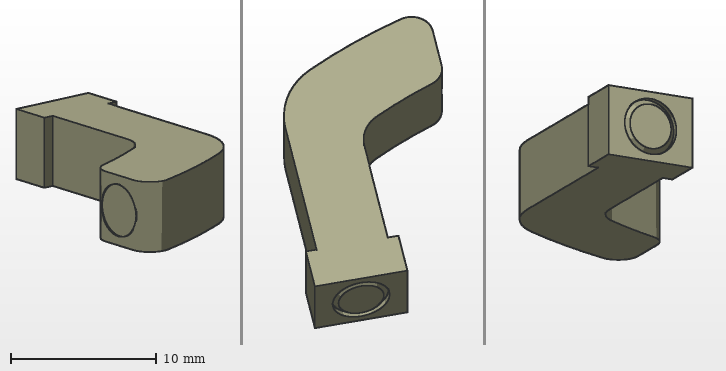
import cadquery as cq
import math

overall_width = 12.35
thickness = 5.0

head_length = 3.0
head_width = 6.5

arm_width = 5.0
leg_end_y = head_width / 2 - overall_width
leg_outer_arc = (-17.48, -18.88, 40.03)
leg_inner_arc = (-17.08, -19.92, 34.2)
bend_outer_radius = 5.0
bend_inner_radius = 2.5
corner_radius = 1.5

head_pocket_diameter = 4.0
head_insert_face_diameter = 3.2
head_rim_width = (head_pocket_diameter - head_insert_face_diameter) / 2

leg_recess_diameter = 3.7
leg_recess_x = 17.8
leg_recess_depth = 0.1


def leg_point(arc, y):
    """Point at the given y on the +X half of a leg side arc."""
    center_x, center_y, radius = arc
    return center_x + math.sqrt(radius**2 - (y - center_y) ** 2), y


def make_bent_arm():
    top = arm_width / 2
    bottom = -top
    outer_bend = leg_point(leg_outer_arc, top)
    outer_end = leg_point(leg_outer_arc, leg_end_y)
    inner_end = leg_point(leg_inner_arc, leg_end_y)
    inner_bend = leg_point(leg_inner_arc, bottom)
    arm = (
        cq.Workplane("XY")
        .moveTo(0, top)
        .lineTo(*outer_bend)
        .threePointArc(leg_point(leg_outer_arc, (top + leg_end_y) / 2), outer_end)
        .lineTo(*inner_end)
        .threePointArc(leg_point(leg_inner_arc, (bottom + leg_end_y) / 2), inner_bend)
        .lineTo(0, bottom)
        .close()
        .extrude(thickness / 2, both=True)
    )
    roundings = (
        (outer_bend, bend_outer_radius),
        (inner_bend, bend_inner_radius),
        (outer_end, corner_radius),
        (inner_end, corner_radius),
    )
    for (x, y), radius in roundings:
        arm = arm.edges(cq.selectors.NearestToPointSelector((x, y, 0))).fillet(radius)
    return arm


def make_head():
    return cq.Workplane("XY").box(head_length, head_width, thickness, centered=(False, True, True))


def make_head_rim_groove():
    """Ring with a straight outer wall and a 45 degree inner wall, cut around the insert face."""
    pocket_radius = head_pocket_diameter / 2
    return (
        cq.Workplane("XY")
        .moveTo(0, head_insert_face_diameter / 2)
        .lineTo(0, pocket_radius)
        .lineTo(head_rim_width, pocket_radius)
        .close()
        .revolve(360, (0, 0, 0), (1, 0, 0))
    )


def make_leg_recess():
    return (
        cq.Workplane("XZ", origin=(leg_recess_x, leg_end_y + leg_recess_depth, 0))
        .circle(leg_recess_diameter / 2)
        .extrude(leg_recess_depth)
    )


body = make_bent_arm().union(make_head())
result = body.cut(make_head_rim_groove()).cut(make_leg_recess())